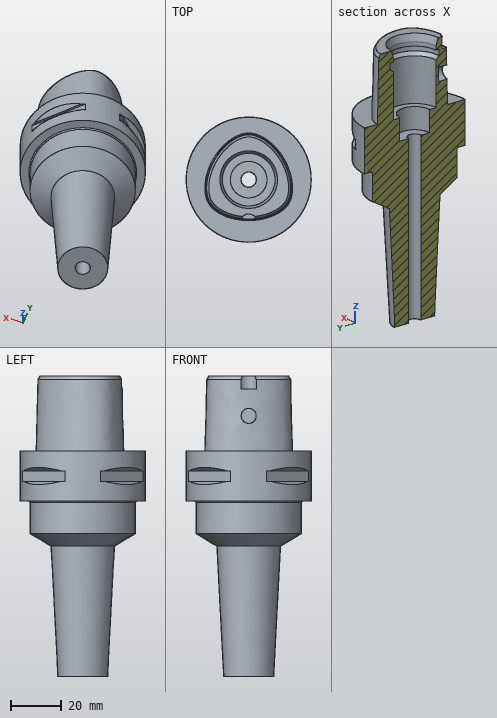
import cadquery as cq
import math

TOTAL_HEIGHT = 120.0
SHANK_LENGTH = 30.0
FLANGE_HEIGHT = 20.0
COLLAR_HEIGHT = 13.0
COLLAR_CONE_HEIGHT = 5.0
GAUGE_Z = TOTAL_HEIGHT - SHANK_LENGTH
FLANGE_BOTTOM_Z = GAUGE_Z - FLANGE_HEIGHT
COLLAR_BOTTOM_Z = FLANGE_BOTTOM_Z - COLLAR_HEIGHT
NOSE_TOP_Z = COLLAR_BOTTOM_Z - COLLAR_CONE_HEIGHT

FLANGE_RADIUS = 25.0
COLLAR_RADIUS = 21.0
COLLAR_ROOT_CHAMFER = 0.5
NOSE_TIP_RADIUS = 10.0
NOSE_HALF_ANGLE = math.radians(3.0)
NOSE_TOP_RADIUS = NOSE_TIP_RADIUS + NOSE_TOP_Z * math.tan(NOSE_HALF_ANGLE)

POLYGON_DIAMETER = 35.0
POLYGON_ECCENTRICITY = 1.12
POLYGON_POINTS = 48
SHANK_TAPER = 1.0 / 20.0
TIP_CHAMFER_HEIGHT = 1.5
TIP_CHAMFER_ANGLE = math.radians(30.0)

BORE_RADIUS = 10.5
BORE_DEPTH = SHANK_LENGTH
MOUTH_RADIUS = 11.5
MOUTH_CONE_DEPTH = 3.3
UNDERCUT_RADIUS = 12.0
UNDERCUT_START_DEPTH = 5.2
UNDERCUT_END_DEPTH = 7.9
STEP_RADIUS = 7.3
STEP_LENGTH = 10.0
TOOL_HOLE_RADIUS = 3.0

NOTCH_HALF_WIDTH = 3.05
NOTCH_ARC_RISE = 1.8
NOTCH_DEPTH = 5.2
NOTCH_INNER_Y = -13.7
POCKET_RADIUS = 3.0
POCKET_Z = TOTAL_HEIGHT - 16.0
POCKET_FLOOR_Y = -12.0

GROOVE_COUNT = 4
GROOVE_START_ANGLE = 45.0
GROOVE_Z = GAUGE_Z - FLANGE_HEIGHT / 2
GROOVE_FLOOR_DISTANCE = 22.0
GROOVE_FLOOR_WIDTH = 4.2
GROOVE_STRAIGHT_DEPTH = 0.7
GROOVE_WALL_ANGLE = math.radians(30.0)

CLEARANCE = 5.0


def polygon_point(diameter, angle):
    """Point of the three-lobed curve; one lobe points along +Y."""
    radius = diameter / 2
    e = POLYGON_ECCENTRICITY
    x = radius * math.sin(angle) + 2 * e * math.sin(2 * angle) + e * math.sin(4 * angle)
    y = -radius * math.cos(angle) + 2 * e * math.cos(2 * angle) - e * math.cos(4 * angle)
    return x, y


def polygon_wire(diameter, z):
    """Closed three-lobed outline at the given height."""
    step = 2 * math.pi / POLYGON_POINTS
    points = [cq.Vector(*polygon_point(diameter, i * step), z) for i in range(POLYGON_POINTS)]
    return cq.Wire.assembleEdges([cq.Edge.makeSpline(points, periodic=True)])


def make_shank():
    """Tapered shank with a steeper lead-in at its tip."""
    shoulder_z = TOTAL_HEIGHT - TIP_CHAMFER_HEIGHT
    shoulder_diameter = POLYGON_DIAMETER - (shoulder_z - GAUGE_Z) * SHANK_TAPER
    tip_diameter = shoulder_diameter - 2 * TIP_CHAMFER_HEIGHT * math.tan(TIP_CHAMFER_ANGLE)
    shoulder = polygon_wire(shoulder_diameter, shoulder_z)
    taper = cq.Solid.makeLoft([polygon_wire(POLYGON_DIAMETER, GAUGE_Z), shoulder], True)
    lead_in = cq.Solid.makeLoft([shoulder, polygon_wire(tip_diameter, TOTAL_HEIGHT)], True)
    return cq.Workplane(taper).union(cq.Workplane(lead_in))


def make_turned_body():
    """Flange, collar and slender tapered nose as one revolved profile."""
    profile = [
        (0, 0),
        (NOSE_TIP_RADIUS, 0),
        (NOSE_TOP_RADIUS, NOSE_TOP_Z),
        (COLLAR_RADIUS, COLLAR_BOTTOM_Z),
        (COLLAR_RADIUS, FLANGE_BOTTOM_Z - COLLAR_ROOT_CHAMFER),
        (COLLAR_RADIUS + COLLAR_ROOT_CHAMFER, FLANGE_BOTTOM_Z),
        (FLANGE_RADIUS, FLANGE_BOTTOM_Z),
        (FLANGE_RADIUS, GAUGE_Z),
        (0, GAUGE_Z),
    ]
    return cq.Workplane("XZ").polyline(profile).close().revolve(360, (0, 0), (0, 1))


def make_bore():
    """Stepped bore with a conical mouth and an undercut; the tool hole runs right through."""
    undercut_top_z = TOTAL_HEIGHT - UNDERCUT_START_DEPTH
    undercut_bottom_z = TOTAL_HEIGHT - UNDERCUT_END_DEPTH
    undercut_cone_end_z = undercut_bottom_z - (UNDERCUT_RADIUS - BORE_RADIUS)
    bore_floor_z = TOTAL_HEIGHT - BORE_DEPTH
    step_floor_z = bore_floor_z - STEP_LENGTH
    profile = [
        (0, 0),
        (TOOL_HOLE_RADIUS, 0),
        (TOOL_HOLE_RADIUS, step_floor_z),
        (STEP_RADIUS, step_floor_z),
        (STEP_RADIUS, bore_floor_z),
        (BORE_RADIUS, bore_floor_z),
        (BORE_RADIUS, undercut_cone_end_z),
        (UNDERCUT_RADIUS, undercut_bottom_z),
        (UNDERCUT_RADIUS, undercut_top_z),
        (BORE_RADIUS, undercut_top_z),
        (BORE_RADIUS, TOTAL_HEIGHT - MOUTH_CONE_DEPTH),
        (MOUTH_RADIUS, TOTAL_HEIGHT),
        (0, TOTAL_HEIGHT),
    ]
    return cq.Workplane("XZ").polyline(profile).close().revolve(360, (0, 0), (0, 1))


def make_notch():
    """Upright slot with an arched inner wall in the shank tip, open towards -Y."""
    arc_start_y = NOTCH_INNER_Y - NOTCH_ARC_RISE
    outer_y = arc_start_y - CLEARANCE
    return (
        cq.Workplane("XY", origin=(0, 0, TOTAL_HEIGHT - NOTCH_DEPTH))
        .moveTo(-NOTCH_HALF_WIDTH, outer_y)
        .lineTo(-NOTCH_HALF_WIDTH, arc_start_y)
        .threePointArc((0, NOTCH_INNER_Y), (NOTCH_HALF_WIDTH, arc_start_y))
        .lineTo(NOTCH_HALF_WIDTH, outer_y)
        .close()
        .extrude(NOTCH_DEPTH)
    )


def make_pocket():
    """Flat-bottomed round pocket drilled from the -Y side."""
    length = POLYGON_DIAMETER / 2 - abs(POCKET_FLOOR_Y)
    return (
        cq.Workplane("XZ", origin=(0, POCKET_FLOOR_Y, POCKET_Z))
        .circle(POCKET_RADIUS)
        .extrude(length)
    )


def make_groove(angle):
    """Flat-floored groove across the flange with flared walls, facing the given direction."""
    outer_x = FLANGE_RADIUS + CLEARANCE
    flare_x = GROOVE_FLOOR_DISTANCE + GROOVE_STRAIGHT_DEPTH
    floor_half = GROOVE_FLOOR_WIDTH / 2
    outer_half = floor_half + (outer_x - flare_x) * math.tan(GROOVE_WALL_ANGLE)
    section = [
        (GROOVE_FLOOR_DISTANCE, -floor_half),
        (flare_x, -floor_half),
        (outer_x, -outer_half),
        (outer_x, outer_half),
        (flare_x, floor_half),
        (GROOVE_FLOOR_DISTANCE, floor_half),
    ]
    return (
        cq.Workplane("XZ", origin=(0, 0, GROOVE_Z))
        .polyline(section)
        .close()
        .extrude(FLANGE_RADIUS, both=True)
        .rotate((0, 0, 0), (0, 0, 1), angle)
    )


body = make_turned_body().union(make_shank())
body = body.cut(make_bore()).cut(make_notch()).cut(make_pocket())
for i in range(GROOVE_COUNT):
    body = body.cut(make_groove(GROOVE_START_ANGLE + i * 360.0 / GROOVE_COUNT))

result = body